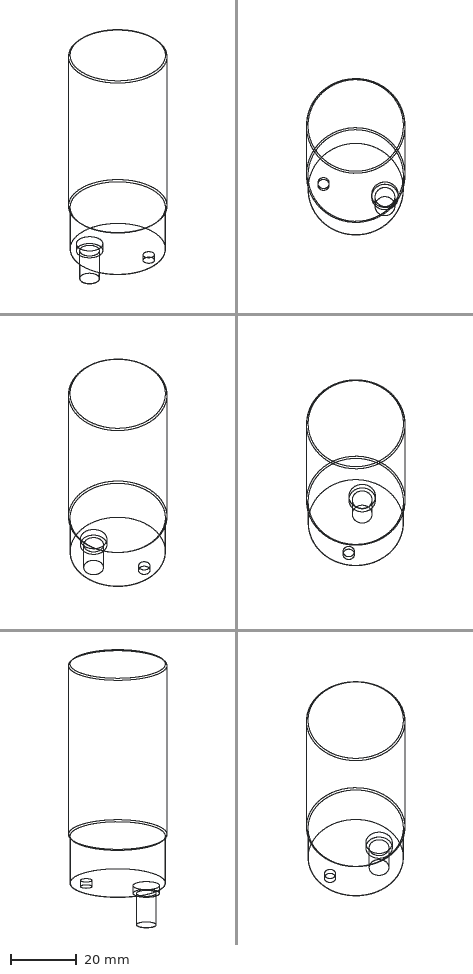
import cadquery as cq

total_height = 82.5
cable_length = 12.5
neck_height = 15.0

body_diameter = 30.0
body_edge_chamfer = 0.5
neck_diameter = body_diameter - 2 * body_edge_chamfer

cable_x = -9.1
cable_diameter = 6.0
gland_diameter = 8.1
gland_height = 2.5

pin_x = 10.0
pin_diameter = 3.5
pin_height = 2.0

rear_face_z = cable_length
body_bottom_z = rear_face_z + neck_height
body_height = total_height - body_bottom_z


def cylinder(diameter, bottom_z, height, x=0.0):
    """Upright cylinder centred on Y = 0."""
    return cq.Workplane("XY", origin=(x, 0, bottom_z)).circle(diameter / 2).extrude(height)


def hanging_cylinder(diameter, length, x):
    """Cylinder that projects downwards from the rear face."""
    return cylinder(diameter, rear_face_z - length, length, x)


body = cylinder(body_diameter, body_bottom_z, body_height).edges("%CIRCLE").chamfer(body_edge_chamfer)
neck = cylinder(neck_diameter, rear_face_z, neck_height)
gland = hanging_cylinder(gland_diameter, gland_height, cable_x)
cable = hanging_cylinder(cable_diameter, cable_length, cable_x)
pin = hanging_cylinder(pin_diameter, pin_height, pin_x)

result = body.union(neck).union(gland).union(cable).union(pin)